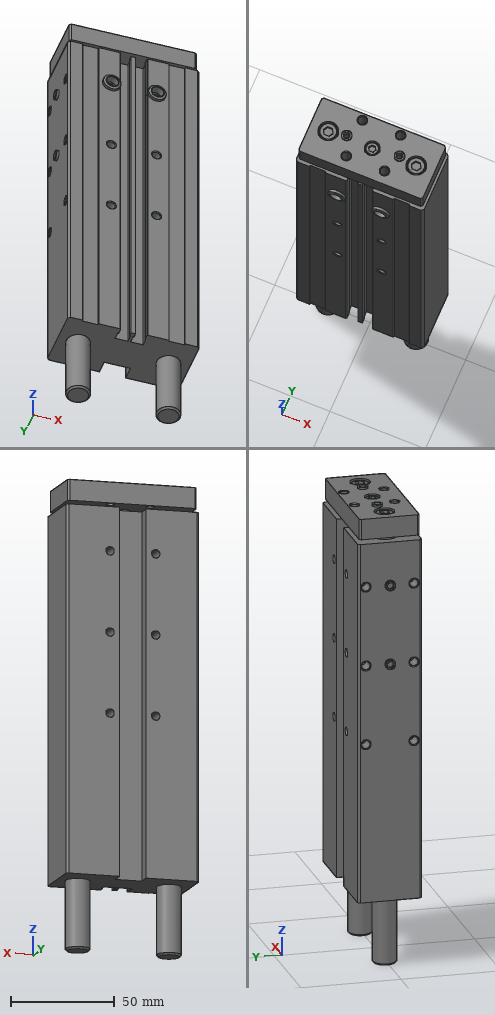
import cadquery as cq
import math


housing_width = 67.0
housing_depth = 32.0
housing_height = 182.5
housing_chamfer = 1.2
front_y = -housing_depth / 2
left_x = -housing_width / 2

groove_inner_x = 17.7
groove_outer_x = 26.0
groove_depth = 0.7
groove_wall_run = 0.5

slot_half_width = 6.7
web_half_width = 1.2
web_recess = 1.0
slot_edge_chamfer = 0.5
slot_lip_depth = 3.5
slot_depth = 7.1
slot_undercut = 0.5

tap_diameter = 4.1
tap_mouth_diameter = 5.0
drill_tip_angle = 118
hole_row_pitch = 40.0
hole_row_count = 3
top_row_z = housing_height - 21.9
front_hole_x = 11.5
side_hole_y = 12.0
side_hole_depth = 8.0

front_sleeve_diameter = 9.0
front_sleeve_bore = 6.0
front_sleeve_taper_height = 0.5
front_sleeve_taper_width = 1.2
front_sleeve_protrusion = 1.8
front_sleeve_seat = 2.0

port_count = 2
plug_diameter = 5.0
plug_protrusion = 1.4
plug_seat = 2.8
plug_chamfer = 0.2
plug_socket_diameter = 3.2
plug_socket_depth = 1.4

rod_diameter = 12.0
rod_x = 23.0
rod_overhang = 34.5
rod_chamfer = 1.0
rod_head_diameter = 9.0
rod_counterbore_diameter = 10.0
rod_socket_width = 4.4

plate_width = 65.0
plate_depth = 30.0
plate_thickness = 10.4
plate_chamfer = 1.0
plate_gap = 2.0
plate_bottom_z = housing_height + plate_gap
plate_top_z = plate_bottom_z + plate_thickness
stem_diameter = 6.0
stem_head_diameter = 7.0
stem_recess_diameter = 7.5
stem_socket_width = 3.2
head_recess_depth = 2.3
head_drop = 0.5
head_chamfer = 0.5
socket_depth = 1.4

plate_tap_centre_y = 1.5
plate_tap_spacing = 20.0

plate_sleeve_x = 13.8
plate_sleeve_y = 1.2
plate_sleeve_diameter = 5.0
plate_sleeve_bore = 3.2
plate_sleeve_protrusion = 1.0
plate_sleeve_seat = 2.0
plate_sleeve_hole_depth = 7.0

hole_rows = [top_row_z - row * hole_row_pitch for row in range(hole_row_count)]
port_rows = hole_rows[:port_count]

DOWN = cq.Vector(0, 0, -1)
INTO_FRONT = cq.Vector(0, 1, 0)
INTO_LEFT = cq.Vector(1, 0, 0)


def cylinder(diameter, length, start, direction):
    return cq.Workplane(cq.Solid.makeCylinder(diameter / 2, length, cq.Vector(*start), direction))


def countersink(start, direction):
    """45 degree cone that widens a tapped hole at its mouth."""
    depth = (tap_mouth_diameter - tap_diameter) / 2
    return cq.Workplane(
        cq.Solid.makeCone(tap_mouth_diameter / 2, tap_diameter / 2, depth, cq.Vector(*start), direction)
    )


def drilled_hole(diameter, depth, start, direction):
    """Blind hole that ends in a drill cone."""
    tip_height = diameter / 2 / math.tan(math.radians(drill_tip_angle / 2))
    tip_start = cq.Vector(*start) + direction * depth
    tip = cq.Solid.makeCone(diameter / 2, 0, tip_height, tip_start, direction)
    return cylinder(diameter, depth, start, direction).union(cq.Workplane(tip))


def hex_socket(width, x, top_z):
    corner_diameter = width / math.cos(math.pi / 6)
    return (
        cq.Workplane("XY", origin=(x, 0, top_z)).polygon(6, corner_diameter).extrude(-socket_depth)
    )


def vertical_cut(points):
    """Full-height prism that cuts a groove along the housing."""
    return cq.Workplane("XY").polyline(points).close().extrude(housing_height)


def rectangle(x_min, x_max, y_min, y_max):
    return [(x_min, y_min), (x_max, y_min), (x_max, y_max), (x_min, y_max)]


def make_housing():
    body = (
        cq.Workplane("XY")
        .rect(housing_width, housing_depth)
        .extrude(housing_height)
        .edges("|Z")
        .chamfer(housing_chamfer)
    )

    edge_y = front_y + slot_edge_chamfer
    lip_y = front_y + slot_lip_depth
    floor_y = front_y + slot_depth
    groove_floor_y = front_y + groove_depth
    groove = vertical_cut(
        [
            (groove_inner_x, front_y),
            (groove_inner_x + groove_wall_run, groove_floor_y),
            (groove_outer_x, groove_floor_y),
            (groove_outer_x, front_y),
        ]
    )
    slot = vertical_cut(
        [
            (web_half_width, front_y),
            (slot_half_width + slot_edge_chamfer, front_y),
            (slot_half_width, edge_y),
            (slot_half_width, lip_y),
            (slot_half_width + slot_undercut, lip_y),
            (slot_half_width + slot_undercut, floor_y),
            (web_half_width - slot_undercut, floor_y),
            (web_half_width - slot_undercut, lip_y),
            (web_half_width, lip_y),
        ]
    )
    for cut in (groove, slot):
        body = body.cut(cut).cut(cut.mirror("YZ"))
    web_top = rectangle(-web_half_width, web_half_width, front_y, front_y + web_recess)
    body = body.cut(vertical_cut(web_top))

    back_y = -front_y
    back_slot = rectangle(-slot_half_width, slot_half_width, back_y - slot_depth, back_y)
    body = body.cut(vertical_cut(back_slot))

    for x in (-rod_x, rod_x):
        body = body.cut(cylinder(rod_diameter, housing_height, (x, 0, 0), -DOWN))

    for x in (-front_hole_x, front_hole_x):
        for z in hole_rows:
            body = body.cut(cylinder(tap_diameter, housing_depth, (x, front_y, z), INTO_FRONT))
            body = body.cut(countersink((x, front_y, z), INTO_FRONT))
        seat_start = (x, front_y, top_row_z)
        body = body.cut(cylinder(front_sleeve_diameter, front_sleeve_seat, seat_start, INTO_FRONT))

    for z in hole_rows:
        for y in (-side_hole_y, side_hole_y):
            start = (left_x, y, z)
            body = body.cut(drilled_hole(tap_diameter, side_hole_depth, start, INTO_LEFT))
            body = body.cut(countersink(start, INTO_LEFT))
    for z in port_rows:
        body = body.cut(cylinder(plug_diameter, plug_seat, (left_x, 0, z), INTO_LEFT))
    return body


def make_plate():
    body = (
        cq.Workplane("XY", origin=(0, 0, plate_bottom_z))
        .rect(plate_width, plate_depth)
        .extrude(plate_thickness)
        .edges("|Z")
        .chamfer(plate_chamfer)
    )

    for x in (-rod_x, rod_x):
        top = (x, 0, plate_top_z)
        body = body.cut(cylinder(rod_head_diameter, plate_thickness, top, DOWN))
        body = body.cut(cylinder(rod_counterbore_diameter, head_recess_depth, top, DOWN))

    body = body.cut(cylinder(stem_recess_diameter, head_recess_depth, (0, 0, plate_top_z), DOWN))
    body = body.union(cylinder(stem_diameter, plate_gap, (0, 0, housing_height), -DOWN))
    head = cylinder(stem_head_diameter, head_recess_depth, (0, 0, plate_top_z - head_drop), DOWN)
    body = body.union(head.faces(">Z").chamfer(head_chamfer))
    body = body.cut(hex_socket(stem_socket_width, 0, plate_top_z - head_drop))

    half_spacing = plate_tap_spacing / 2
    for x in (-half_spacing, half_spacing):
        for y in (plate_tap_centre_y - half_spacing, plate_tap_centre_y + half_spacing):
            body = body.cut(cylinder(tap_diameter, plate_thickness, (x, y, plate_top_z), DOWN))
            body = body.cut(countersink((x, y, plate_top_z), DOWN))

    for x in (-plate_sleeve_x, plate_sleeve_x):
        top = (x, plate_sleeve_y, plate_top_z)
        body = body.cut(drilled_hole(plate_sleeve_bore, plate_sleeve_hole_depth, top, DOWN))
        body = body.cut(cylinder(plate_sleeve_diameter, plate_sleeve_seat, top, DOWN))
    return body


def make_guide_rod(x):
    head_z = plate_top_z - head_drop
    shaft_length = rod_overhang + plate_bottom_z
    shaft = cylinder(rod_diameter, shaft_length, (x, 0, -rod_overhang), -DOWN)
    shaft = shaft.faces("<Z").chamfer(rod_chamfer)
    head = cylinder(rod_head_diameter, head_z - plate_bottom_z, (x, 0, plate_bottom_z), -DOWN)
    head = head.faces(">Z").chamfer(head_chamfer)
    return shaft.union(head).cut(hex_socket(rod_socket_width, x, head_z))


def make_front_sleeve(x):
    """Sleeve with a flat taper around its outer rim."""
    tip_y = front_y - front_sleeve_protrusion
    seat_y = front_y + front_sleeve_seat
    outer_radius = front_sleeve_diameter / 2
    bore_radius = front_sleeve_bore / 2
    half_section = [
        (x + bore_radius, tip_y),
        (x + outer_radius - front_sleeve_taper_width, tip_y),
        (x + outer_radius, tip_y + front_sleeve_taper_height),
        (x + outer_radius, seat_y),
        (x + bore_radius, seat_y),
    ]
    section = cq.Workplane("XY", origin=(0, 0, top_row_z)).polyline(half_section).close()
    return section.revolve(360, (x, tip_y), (x, seat_y))


def make_plate_sleeve(x):
    top = (x, plate_sleeve_y, plate_top_z + plate_sleeve_protrusion)
    length = plate_sleeve_protrusion + plate_sleeve_seat
    sleeve = cylinder(plate_sleeve_diameter, length, top, DOWN)
    return sleeve.cut(cylinder(plate_sleeve_bore, length, top, DOWN))


def make_plug(z):
    tip = (left_x - plug_protrusion, 0, z)
    plug = cylinder(plug_diameter, plug_protrusion + plug_seat, tip, INTO_LEFT)
    plug = plug.faces("<X").chamfer(plug_chamfer)
    return plug.cut(cylinder(plug_socket_diameter, plug_socket_depth, tip, INTO_LEFT))


housing = make_housing()
plate = make_plate()
guide_rods = [make_guide_rod(x) for x in (-rod_x, rod_x)]
front_sleeves = [make_front_sleeve(x) for x in (-front_hole_x, front_hole_x)]
plate_sleeves = [make_plate_sleeve(x) for x in (-plate_sleeve_x, plate_sleeve_x)]
plugs = [make_plug(z) for z in port_rows]

small_parts = front_sleeves + plate_sleeves + plugs
result = cq.Compound.makeCompound(
    [housing.val(), plate.val(), *[part.val() for part in guide_rods + small_parts]]
)